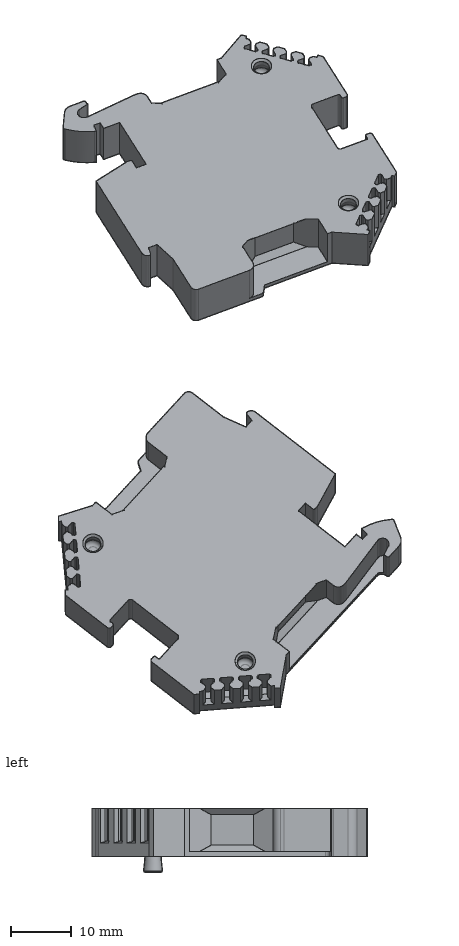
import cadquery as cq
import math


half_width = 24.0
height = 45.5
thickness = 7.95
pin_length = 2.65
clearance = 2.4

window_floor_y = 39.0
window_half_width = 5.4
hook_half_gap = 4.35
hook_y = 44.35
hook_top_round = 0.45
hook_tip_round = 0.3
hook_root_round = 0.25
window_round = 0.5
shoulder_angle = 45
shoulder_tip_y = 35.4
shoulder_sum = half_width + shoulder_tip_y
lip_length = 0.65
lip_step = 0.35
waist_half_width = 20.95
waist_y = 30.25

slot_count = 4
slot_pitch = 3.1
slot_neck_half = 0.45
slot_neck_start = 0.55
slot_neck_end = 0.95
slot_flare_end = 1.7
slot_depth = 2.15
slot_back_chamfer = 0.25
slot_floor_z = 2.6
slot_lip_z = 2.25

base_plate = 0.8
recess_top_y = 29.4
recess_bottom_y = 15.6
recess_x = 16.5
pocket_top_y = 27.75
pocket_bottom_y = 16.9
pocket_depth = 1.05
pocket_wall_slope = 1.8
pocket_inset_z = 1.05
recess_round = 1.25

foot_half_width = 22.4
foot_ledge_top_y = 17.85
foot_ledge_y = 16.9
foot_ledge_round = 0.5
foot_shelf_y = 4.1
foot_shelf_x = 14.75
foot_round = 0.95
rail_top_y = 9.0
rail_stop_x = -7.55
rail_stop_top_y = 7.25
rail_stop_bottom_y = 6.35
rail_stop_round = 0.2
rail_stop_foot_x = -6.0
rail_left_x = -15.7
rail_right_x = -5.65
fixed_notch_x = 10.75
fixed_notch_top_y = 3.05
fixed_notch_bottom_y = 1.55
fixed_toe_top = (12.4, 1.15)
fixed_toe_top_round = 0.3
fixed_toe_x = 12.1
fixed_toe_round = 1.05

latch_notch_x = -17.05
latch_notch_top_y = 6.1
latch_notch_bottom_y = 4.95
latch_barb_y = 4.75
latch_nose = (-16.6, 2.1)
latch_nose_round = 11.05
latch_tip_right_x = -18.55
latch_tip_left_x = -18.8
latch_tip_y = 0.15
latch_left_x = -22.45
latch_heel_y = 2.25
latch_heel_round = 1.75
latch_top_y = 5.95
latch_top_round = 0.35
latch_shoulder_x = -21.75
latch_shoulder_y = 6.55
latch_shoulder_round = 0.75

groove_top_x = -20.0
groove_bend_y = 13.8
groove_bottom_y = 3.6
groove_round = 1.0
groove_floor_right_x = -19.0
groove_floor_left_x = -20.95
groove_left_x = -21.55
groove_mouth_y = 5.85
groove_exit_y = 6.95

pin_x = 16.45
pin_y = 35.4
pin_root_radius = 1.35
pin_tip_radius = 1.6
pin_chamfer = 0.25
socket_mouth_radius = 1.7
socket_throat_radius = 1.3
socket_lead_in = 0.4
socket_throat_depth = 1.25
socket_depth = 3.1
socket_floor_radius = 0.75


def rounded_outline(corners):
    """Closed wire along (x, y) corners; a third value rounds the corner to that radius."""
    entries = []
    for i, corner in enumerate(corners):
        point = cq.Vector(*corner[:2])
        radius = corner[2] if len(corner) == 3 else 0
        if radius == 0:
            entries.append((point, None, point))
            continue
        to_prev = (cq.Vector(*corners[i - 1][:2]) - point).normalized()
        to_next = (cq.Vector(*corners[(i + 1) % len(corners)][:2]) - point).normalized()
        half_angle = to_prev.getAngle(to_next) / 2
        tangent = radius / math.tan(half_angle)
        middle_distance = radius / math.sin(half_angle) - radius
        middle = point + (to_prev + to_next).normalized() * middle_distance
        entries.append((point + to_prev * tangent, middle, point + to_next * tangent))

    edges = []
    for i, (start, middle, end) in enumerate(entries):
        if middle is not None:
            edges.append(cq.Edge.makeThreePointArc(start, middle, end))
        following = entries[(i + 1) % len(entries)][0]
        edges.append(cq.Edge.makeLine(end, following))
    return cq.Wire.assembleEdges(edges)


def prism(corners, bottom_z, top_z):
    """Upright solid with the given rounded outline."""
    outline = rounded_outline(corners).translate(cq.Vector(0, 0, bottom_z))
    return cq.Workplane().add(outline).toPending().extrude(top_z - bottom_z)


def mirrored(corners):
    """The same corners across X = 0, in reverse order."""
    return [(-c[0],) + tuple(c[1:]) for c in reversed(corners)]


def both_sides(solid):
    """A right-hand solid together with its mirror image."""
    return solid.union(solid.mirror("YZ"))


upper_lip_end = (shoulder_sum - height + lip_length, height - lip_length)
lower_lip_end = (half_width - lip_length, shoulder_tip_y + lip_length)
upper_right = [
    (window_half_width, window_floor_y, window_round),
    (window_half_width, hook_y, hook_root_round),
    (hook_half_gap, hook_y, hook_tip_round),
    (hook_half_gap, height, hook_top_round),
    (shoulder_sum - height, height),
    upper_lip_end,
    (upper_lip_end[0] - lip_step, upper_lip_end[1] - lip_step),
    (lower_lip_end[0] - lip_step, lower_lip_end[1] - lip_step),
    lower_lip_end,
    (half_width, shoulder_tip_y),
    (waist_half_width, waist_y),
]

fixed_foot = [
    (waist_half_width, foot_ledge_top_y),
    (foot_half_width, foot_ledge_y, foot_ledge_round),
    (foot_half_width, foot_shelf_y, foot_round),
    (foot_shelf_x, foot_shelf_y),
    (fixed_notch_x, fixed_notch_top_y),
    (fixed_notch_x, fixed_notch_bottom_y),
    (*fixed_toe_top, fixed_toe_top_round),
    (fixed_toe_x, 0.0, fixed_toe_round),
    (rail_stop_foot_x, 0.0),
    (rail_stop_x, rail_stop_bottom_y),
    (rail_stop_x, rail_stop_top_y, rail_stop_round),
    (rail_right_x, rail_stop_top_y),
    (rail_right_x, rail_top_y),
]
latch_foot = [
    (rail_left_x, rail_top_y),
    (rail_left_x, latch_notch_top_y),
    (latch_notch_x, latch_notch_top_y),
    (latch_notch_x, latch_notch_bottom_y),
    (rail_left_x, latch_barb_y),
    (*latch_nose, latch_nose_round),
    (latch_tip_right_x, latch_tip_y),
    (latch_tip_left_x, latch_tip_y),
    (latch_left_x, latch_heel_y, latch_heel_round),
    (latch_left_x, latch_top_y, latch_top_round),
    (latch_shoulder_x, latch_top_y, latch_top_round),
    (-waist_half_width, latch_shoulder_y, latch_shoulder_round),
]

recess_inner = [
    (recess_x + (recess_top_y - pocket_top_y) / pocket_wall_slope, recess_top_y),
    (recess_x, pocket_top_y),
    (recess_x, pocket_bottom_y),
    (recess_x + (pocket_bottom_y - recess_bottom_y) / pocket_wall_slope, recess_bottom_y),
]
outside_x = half_width + clearance
right_recess = [(outside_x, recess_top_y)] + recess_inner + [
    (foot_half_width, recess_bottom_y, recess_round),
    (foot_half_width, recess_bottom_y - clearance),
    (outside_x, recess_bottom_y - clearance),
]
groove = [
    (groove_top_x, recess_bottom_y, recess_round),
    (groove_top_x, groove_bend_y),
    (groove_floor_right_x, groove_bottom_y, groove_round),
    (groove_floor_left_x, groove_bottom_y, groove_round),
    (groove_left_x, groove_mouth_y),
    (groove_left_x, groove_exit_y),
    (-outside_x, groove_exit_y),
]
left_recess = [(-outside_x, recess_top_y)]
left_recess += [(-x, y) for x, y in recess_inner]
left_recess += groove


def tapered_pocket():
    """Shallow pocket with four sloping walls in the inner face of the right recess."""
    width = pocket_top_y - pocket_bottom_y
    depth_z = thickness - base_plate
    inset_y = pocket_depth * pocket_wall_slope
    centre = ((pocket_top_y + pocket_bottom_y) / 2, (thickness + base_plate) / 2)
    return (
        cq.Workplane("YZ", origin=(recess_x, 0, 0))
        .center(*centre)
        .rect(width, depth_z)
        .workplane(offset=-pocket_depth)
        .rect(width - 2 * inset_y, depth_z - 2 * pocket_inset_z)
        .loft()
    )


def marker_slot():
    """One slot opening towards +X at X = 0, waisted in plan, with a sloping mouth floor."""
    mouth_half = slot_neck_half + slot_neck_start
    inner_half = slot_neck_half + slot_flare_end - slot_neck_end
    upper_side = [
        (clearance, mouth_half),
        (0, mouth_half),
        (-slot_neck_start, slot_neck_half),
        (-slot_neck_end, slot_neck_half),
        (-slot_flare_end, inner_half),
        (slot_back_chamfer - slot_depth, inner_half),
        (-slot_depth, inner_half - slot_back_chamfer),
    ]
    lower_side = [(x, -y) for x, y in reversed(upper_side)]
    plan = cq.Workplane().polyline(upper_side + lower_side).close().extrude(thickness)
    section = (
        cq.Workplane("XZ")
        .polyline([
            (clearance, slot_lip_z),
            (0, slot_lip_z),
            (-slot_neck_end, slot_floor_z),
            (-slot_depth, slot_floor_z),
            (-slot_depth, thickness),
            (clearance, thickness),
        ])
        .close()
        .extrude(inner_half, both=True)
    )
    return plan.intersect(section)


def marker_slots():
    """Row of slots centred on the right-hand marker face."""
    centre_x = (upper_lip_end[0] + lower_lip_end[0]) / 2 - lip_step
    centre_y = (upper_lip_end[1] + lower_lip_end[1]) / 2 - lip_step
    row = cq.Workplane()
    for i in range(slot_count):
        offset = (i - (slot_count - 1) / 2) * slot_pitch
        row = row.add(marker_slot().translate((0, offset, 0)))
    return row.combine().rotate((0, 0, 0), (0, 0, 1), shoulder_angle).translate((centre_x, centre_y, 0))


def pin():
    """Pin below the right side, widening to a chamfered tip."""
    root_z = base_plate
    profile = [
        (0, root_z),
        (pin_root_radius, root_z),
        (pin_root_radius, 0),
        (pin_tip_radius, pin_chamfer - pin_length),
        (pin_tip_radius - pin_chamfer, -pin_length),
        (0, -pin_length),
    ]
    turned = cq.Workplane("XZ").polyline(profile).close().revolve(360, (0, 0, 0), (0, 1, 0))
    return turned.translate((pin_x, pin_y, 0))


def socket():
    """Socket above the pin: lead-in, narrow throat, wider chamber with a rounded floor."""
    floor_round = pin_tip_radius - socket_floor_radius
    arc_centre_z = thickness - socket_depth + floor_round
    diagonal = floor_round * math.sqrt(0.5)
    turned = (
        cq.Workplane("XZ")
        .moveTo(0, thickness)
        .lineTo(socket_mouth_radius, thickness)
        .lineTo(socket_throat_radius, thickness - socket_lead_in)
        .lineTo(socket_throat_radius, thickness - socket_throat_depth)
        .lineTo(pin_tip_radius, arc_centre_z)
        .threePointArc(
            (socket_floor_radius + diagonal, arc_centre_z - diagonal),
            (socket_floor_radius, thickness - socket_depth),
        )
        .lineTo(0, thickness - socket_depth)
        .close()
        .revolve(360, (0, 0, 0), (0, 1, 0))
    )
    return turned.translate((pin_x, pin_y, 0))


body = prism(upper_right + fixed_foot + latch_foot + mirrored(upper_right), 0, thickness)
body = body.cut(prism(right_recess, base_plate, thickness + clearance))
body = body.cut(prism(left_recess, base_plate, thickness + clearance))
body = body.cut(both_sides(tapered_pocket()))
body = body.cut(marker_slots()).cut(marker_slots().mirror("YZ"))
body = body.union(both_sides(pin()))
result = body.cut(both_sides(socket())).solids()